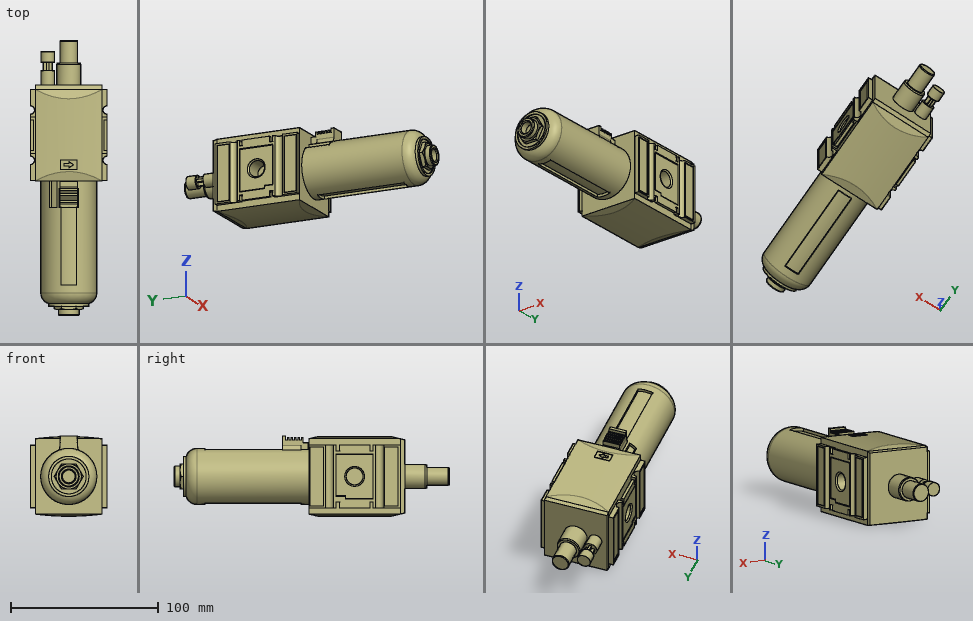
import cadquery as cq
import math


BODY_WIDTH = 45.2
BODY_LENGTH = 62.0
EDGE_HEIGHT = 51.0
CROWN_RISE = 1.5
TAPER_RUN = 6.4
HALF_WIDTH = BODY_WIDTH / 2
HALF_LENGTH = BODY_LENGTH / 2
EDGE_Z = EDGE_HEIGHT / 2
CROWN_Z = EDGE_Z + CROWN_RISE
TAPER_SLOPE = CROWN_RISE / TAPER_RUN

OVERALL_WIDTH = 52.0
PAD_X = OVERALL_WIDTH / 2
PAD_HEIGHT = 42.5
PAD_Z = PAD_HEIGHT / 2
PAD_SETBACK = 0.2
GROOVE_RADIUS = 2.8
GROOVE_Y = 17.0
PANEL_SIZE = (9.1, 39.8)
PANEL_DEPTH = 0.7
PANEL_CENTRES_Y = (24.9, -25.5)
NOTCH_DEPTH = 3.9
NOTCH_SPANS_Y = ((10.4, 12.4), (-12.5, -10.2))
HOOK_SLOT_WIDTH = 1.4
WINDOW_DEPTH = 0.3
WINDOW_BEVEL = 0.5
WINDOW_SPAN_Y = (-12.5, 12.4)
WINDOW_Z = 15.3
WINDOW_STEP_Y = -6.2
WINDOW_STEP_Z = -13.4

PORT_DIAMETER = 11.4
PORT_MOUTH_DIAMETER = 13.4
PORT_DEPTH = 14.0

LABEL_LENGTH = 11.0
LABEL_WIDTH = 6.4
LABEL_Y = -20.0
LABEL_DEPTH = 0.4
ARROW_LENGTH = 6.4
ARROW_HEAD_LENGTH = 3.2
ARROW_HEAD_WIDTH = 4.2
ARROW_SHAFT_WIDTH = 1.8

BOWL_RADIUS = 19.0
BOWL_CORE_RADIUS = 17.0
DOME_START_Y = -106.6
DOME_END_Y = -113.9
RIM_RADIUS = 13.6
RIM_END_Y = -115.8
RIM_RECESS_RADIUS = 11.8
RIM_RECESS_DEPTH = 0.8
SLOT_WIDTH = 10.6
SLOT_START_Y = -36.1
SLOT_END_Y = -101.2

HEX_FLATS = 17.0
HEX_END_Y = -118.0
HEX_BEVEL_ANGLE = math.radians(30)
STUB_RADIUS = 7.1
STUB_END_Y = -122.0
STUB_CHAMFER = 0.6
DRAIN_HOLE_RADIUS = 4.3
DRAIN_MOUTH_RADIUS = 5.0
DRAIN_HOLE_DEPTH = 6.0

BUTTON_WIDTH = 11.8
BUTTON_START_Y = -31.4
BUTTON_END_Y = -48.8
BUTTON_STEP_Z = 22.9
TEETH_START_Y = -34.9
TEETH_END_Y = -46.6
TOOTH_TOP_Z = 26.3
TOOTH_ROOT_Z = 24.7
TOOTH_COUNT = 5
BUTTON_TOP_Z = 27.49
SKIRT_START_Y = -36.1
SKIRT_TOP_Z = 20.8
SKIRT_BOTTOM_Z = 18.0
SKIRT_FLARE = 0.65

RELIEF_OUTER_X = -13.1
RELIEF_INNER_X = -8.1
RELIEF_END_Y = BUTTON_END_Y

CAP_THICKNESS = 3.0
CAP_END_Y = HALF_LENGTH + CAP_THICKNESS
KNOB_RADIUS = 8.2
KNOB_SHOULDER_Y = 48.8
KNOB_SHOULDER_BEVEL = (0.4, 1.1)
KNOB_TOP_RADIUS = 6.05
KNOB_END_Y = 64.0
KNOB_END_BEVEL = (0.3, 0.8)
POST_X = -14.2
POST_RADIUS = 4.65
POST_NECK_START_Y = 43.6
POST_HEAD_START_Y = 49.1
POST_HEAD_BEVEL = 0.4
POST_END_Y = 56.5
NECK_SPAN = 6.3
NECK_ARM_WIDTH = 1.7


def box(x_span, y_span, z_span):
    """Block between the given limits along each axis."""
    corner = [min(span) for span in (x_span, y_span, z_span)]
    size = [abs(span[1] - span[0]) for span in (x_span, y_span, z_span)]
    return cq.Workplane("XY").box(*size, centered=False).translate(tuple(corner))


def rod(radius, y_start, y_end):
    """Cylinder on the Y axis."""
    return cq.Workplane("XZ", origin=(0, y_start, 0)).circle(radius).extrude(y_start - y_end)


def turned(points):
    """Solid turned about the Y axis from (radius, y) points."""
    return cq.Workplane("XY").polyline(points).close().revolve(360, (0, 0, 0), (0, 1, 0))


def both_sides(shape):
    """The shape together with its mirror image across the YZ plane."""
    return shape.union(shape.mirror("YZ"))


def housing_block():
    vault = (
        cq.Workplane("XZ")
        .moveTo(-HALF_WIDTH, -EDGE_Z)
        .lineTo(-HALF_WIDTH, EDGE_Z)
        .threePointArc((0, CROWN_Z), (HALF_WIDTH, EDGE_Z))
        .lineTo(HALF_WIDTH, -EDGE_Z)
        .threePointArc((0, -CROWN_Z), (-HALF_WIDTH, -EDGE_Z))
        .close()
        .extrude(HALF_LENGTH, both=True)
    )
    flat_y = HALF_LENGTH - TAPER_RUN
    side_outline = (
        cq.Workplane("YZ")
        .polyline([
            (-HALF_LENGTH, EDGE_Z), (-flat_y, CROWN_Z), (flat_y, CROWN_Z), (HALF_LENGTH, EDGE_Z),
            (HALF_LENGTH, -EDGE_Z), (flat_y, -CROWN_Z), (-flat_y, -CROWN_Z), (-HALF_LENGTH, -EDGE_Z),
        ])
        .close()
        .extrude(HALF_WIDTH, both=True)
    )
    return vault.intersect(side_outline)


def window_pocket(y_span, z_span):
    """Shallow pocket in the pad face with bevelled upper and lower ends."""
    floor_x = PAD_X - WINDOW_DEPTH
    z_low, z_high = z_span
    return (
        cq.Workplane("XZ", origin=(0, y_span[1], 0))
        .polyline([
            (PAD_X, z_low), (floor_x, z_low + WINDOW_BEVEL),
            (floor_x, z_high - WINDOW_BEVEL), (PAD_X, z_high),
        ])
        .close()
        .extrude(y_span[1] - y_span[0])
    )


def flange_pad():
    """Pad on the +X side with its grooves, panels, clamp notches and window."""
    x_span = (HALF_WIDTH, PAD_X)
    pad = box(x_span, (PAD_SETBACK - HALF_LENGTH, HALF_LENGTH), (-PAD_Z, PAD_Z))
    for y in (GROOVE_Y, -GROOVE_Y):
        groove = cq.Workplane("XY").center(PAD_X, y).circle(GROOVE_RADIUS).extrude(PAD_Z, both=True)
        pad = pad.cut(groove)
    for y in PANEL_CENTRES_Y:
        pad = pad.cut(cq.Workplane("XY").box(2 * PANEL_DEPTH, *PANEL_SIZE).translate((PAD_X, y, 0)))
    slot_span_y = (NOTCH_SPANS_Y[1][0], NOTCH_SPANS_Y[0][1])
    slot_span_x = (HALF_WIDTH, HALF_WIDTH + HOOK_SLOT_WIDTH)
    for side in (1, -1):
        z_span = (side * (PAD_Z - NOTCH_DEPTH), side * PAD_Z)
        for y_span in NOTCH_SPANS_Y:
            pad = pad.cut(box(x_span, y_span, z_span))
        pad = pad.cut(box(slot_span_x, slot_span_y, z_span))
    pad = pad.cut(window_pocket((WINDOW_STEP_Y, WINDOW_SPAN_Y[1]), (-WINDOW_Z, WINDOW_Z)))
    return pad.cut(window_pocket((WINDOW_SPAN_Y[0], WINDOW_STEP_Y), (WINDOW_STEP_Z, WINDOW_Z)))


def port():
    """Blind hole with a chamfered mouth, entering from +X."""
    bore = PORT_DIAMETER / 2
    mouth = PORT_MOUTH_DIAMETER / 2
    face_x = PAD_X - WINDOW_DEPTH
    return (
        cq.Workplane("XY")
        .polyline([
            (face_x - PORT_DEPTH, 0), (face_x - PORT_DEPTH, bore), (face_x - (mouth - bore), bore),
            (face_x, mouth), (face_x, 0),
        ])
        .close()
        .revolve(360, (0, 0, 0), (1, 0, 0))
    )


def flow_label():
    """Flat recess in the crown around an arrow that points to +X; the arrow is left standing."""
    floor_z = CROWN_Z - LABEL_DEPTH
    tip = ARROW_LENGTH / 2
    neck = tip - ARROW_HEAD_LENGTH
    shaft = ARROW_SHAFT_WIDTH / 2
    barb = ARROW_HEAD_WIDTH / 2
    plane = cq.Workplane("XY", origin=(0, LABEL_Y, floor_z))
    arrow = plane.polyline([
        (-tip, shaft), (neck, shaft), (neck, barb), (tip, 0), (neck, -barb), (neck, -shaft), (-tip, -shaft),
    ]).close().extrude(LABEL_DEPTH)
    return plane.rect(LABEL_LENGTH, LABEL_WIDTH).extrude(LABEL_DEPTH).cut(arrow)


def bowl_shell():
    """Turned bowl with a rounded end and a shallow recess in the end rim."""
    drop = DOME_START_Y - DOME_END_Y
    inset = BOWL_RADIUS - RIM_RADIUS
    dome_radius = (drop ** 2 + inset ** 2) / (2 * inset)
    half_sweep = math.asin(drop / dome_radius) / 2
    dome_middle = (
        BOWL_RADIUS - dome_radius * (1 - math.cos(half_sweep)),
        DOME_START_Y - dome_radius * math.sin(half_sweep),
    )
    recess_y = RIM_END_Y + RIM_RECESS_DEPTH
    return (
        cq.Workplane("XY")
        .moveTo(0, -HALF_LENGTH)
        .lineTo(BOWL_RADIUS, -HALF_LENGTH)
        .lineTo(BOWL_RADIUS, DOME_START_Y)
        .threePointArc(dome_middle, (RIM_RADIUS, DOME_END_Y))
        .lineTo(RIM_RADIUS, RIM_END_Y)
        .lineTo(RIM_RECESS_RADIUS, RIM_END_Y)
        .lineTo(RIM_RECESS_RADIUS, recess_y)
        .lineTo(0, recess_y)
        .close()
        .revolve(360, (0, 0, 0), (0, 1, 0))
    )


def sight_slots():
    """Slots along the top and bottom of the bowl, down to the round core."""
    half_slot = SLOT_WIDTH / 2
    strip = box((-half_slot, half_slot), (SLOT_START_Y, SLOT_END_Y), (-BOWL_RADIUS, BOWL_RADIUS))
    return strip.cut(rod(BOWL_CORE_RADIUS, SLOT_START_Y, SLOT_END_Y))


def button_relief():
    """Relief left of the button: radial outer wall, round floor and upright inner wall."""
    outer_z = math.sqrt(BOWL_RADIUS ** 2 - RELIEF_OUTER_X ** 2)
    wedge = (
        cq.Workplane("XZ", origin=(0, -HALF_LENGTH, 0))
        .polyline([
            (0, 0), (RELIEF_OUTER_X, outer_z), (RELIEF_OUTER_X, BOWL_RADIUS), (RELIEF_INNER_X, BOWL_RADIUS),
            (RELIEF_INNER_X, 0),
        ])
        .close()
        .extrude(-HALF_LENGTH - RELIEF_END_Y)
    )
    return wedge.cut(rod(BOWL_CORE_RADIUS, -HALF_LENGTH, RELIEF_END_Y))


def latch_button():
    """Push button with a square-toothed grip, a raised end and flared skirts."""
    pitch = (TEETH_START_Y - TEETH_END_Y) / TOOTH_COUNT
    outline = [
        (BUTTON_START_Y, BOWL_CORE_RADIUS), (BUTTON_START_Y, BUTTON_STEP_Z), (TEETH_START_Y, BUTTON_STEP_Z),
    ]
    for tooth in range(TOOTH_COUNT):
        y = TEETH_START_Y - tooth * pitch
        outline += [(y, TOOTH_TOP_Z), (y - pitch / 2, TOOTH_TOP_Z)]
        outline += [(y - pitch / 2, TOOTH_ROOT_Z), (y - pitch, TOOTH_ROOT_Z)]
    outline += [(TEETH_END_Y, BUTTON_TOP_Z), (BUTTON_END_Y, BUTTON_TOP_Z), (BUTTON_END_Y, BOWL_CORE_RADIUS)]
    half = BUTTON_WIDTH / 2
    grip = cq.Workplane("YZ").polyline(outline).close().extrude(half, both=True)
    skirt = (
        cq.Workplane("XZ", origin=(0, SKIRT_START_Y, 0))
        .polyline([
            (-half, SKIRT_TOP_Z), (half, SKIRT_TOP_Z), (half + SKIRT_FLARE, SKIRT_BOTTOM_Z),
            (half + SKIRT_FLARE, BOWL_CORE_RADIUS), (-half - SKIRT_FLARE, BOWL_CORE_RADIUS),
            (-half - SKIRT_FLARE, SKIRT_BOTTOM_Z),
        ])
        .close()
        .extrude(SKIRT_START_Y - BUTTON_END_Y)
    )
    return grip.union(skirt)


def drain():
    """Hexagon and chamfered stub at the end of the bowl."""
    base_y = RIM_END_Y + RIM_RECESS_DEPTH
    corner_radius = HEX_FLATS / 2 / math.cos(math.pi / 6)
    bevel = (corner_radius - HEX_FLATS / 2) * math.tan(HEX_BEVEL_ANGLE)
    bevel_cone = turned([
        (0, base_y), (corner_radius, base_y), (corner_radius, HEX_END_Y + bevel),
        (HEX_FLATS / 2, HEX_END_Y), (0, HEX_END_Y),
    ])
    hexagon = (
        cq.Workplane("XZ", origin=(0, base_y, 0))
        .polygon(6, 2 * corner_radius)
        .extrude(base_y - HEX_END_Y)
        .intersect(bevel_cone)
    )
    stub = turned([
        (0, base_y), (STUB_RADIUS, base_y), (STUB_RADIUS, STUB_END_Y + STUB_CHAMFER),
        (STUB_RADIUS - STUB_CHAMFER, STUB_END_Y), (0, STUB_END_Y),
    ])
    return hexagon.union(stub)


def drain_hole():
    chamfer = DRAIN_MOUTH_RADIUS - DRAIN_HOLE_RADIUS
    floor_y = STUB_END_Y + DRAIN_HOLE_DEPTH
    return turned([
        (0, STUB_END_Y), (DRAIN_MOUTH_RADIUS, STUB_END_Y), (DRAIN_HOLE_RADIUS, STUB_END_Y + chamfer),
        (DRAIN_HOLE_RADIUS, floor_y), (0, floor_y),
    ])


def make_housing():
    bowl = bowl_shell().cut(sight_slots()).cut(button_relief()).union(latch_button())
    bowl = bowl.union(drain()).cut(drain_hole())
    housing = housing_block().union(both_sides(flange_pad()))
    return housing.cut(both_sides(port())).cut(flow_label()).union(bowl)


def cap_plate():
    """End plate whose top and bottom carry on the slope of the housing's end taper."""
    end_z = EDGE_Z - CAP_THICKNESS * TAPER_SLOPE
    return (
        cq.Workplane("YZ")
        .polyline([
            (HALF_LENGTH, -EDGE_Z), (HALF_LENGTH, EDGE_Z), (CAP_END_Y, end_z), (CAP_END_Y, -end_z),
        ])
        .close()
        .extrude(HALF_WIDTH, both=True)
    )


def knob():
    shoulder_inset, shoulder_run = KNOB_SHOULDER_BEVEL
    end_inset, end_run = KNOB_END_BEVEL
    return turned([
        (0, CAP_END_Y), (KNOB_RADIUS, CAP_END_Y), (KNOB_RADIUS, KNOB_SHOULDER_Y - shoulder_run),
        (KNOB_RADIUS - shoulder_inset, KNOB_SHOULDER_Y), (KNOB_TOP_RADIUS, KNOB_SHOULDER_Y),
        (KNOB_TOP_RADIUS, KNOB_END_Y - end_run), (KNOB_TOP_RADIUS - end_inset, KNOB_END_Y), (0, KNOB_END_Y),
    ])


def filler_post():
    """Round post with a cross-shaped neck below its head."""
    half_span = NECK_SPAN / 2
    half_arm = NECK_ARM_WIDTH / 2
    neck_y = (POST_NECK_START_Y, POST_HEAD_START_Y)
    post = rod(POST_RADIUS, CAP_END_Y, POST_NECK_START_Y)
    post = post.union(box((-half_span, half_span), neck_y, (-half_arm, half_arm)))
    post = post.union(box((-half_arm, half_arm), neck_y, (-half_span, half_span)))
    post = post.union(turned([
        (0, POST_HEAD_START_Y), (POST_RADIUS - POST_HEAD_BEVEL, POST_HEAD_START_Y),
        (POST_RADIUS, POST_HEAD_START_Y + POST_HEAD_BEVEL), (POST_RADIUS, POST_END_Y), (0, POST_END_Y),
    ]))
    return post.translate((POST_X, 0, 0))


def make_cap():
    return cap_plate().union(knob()).union(filler_post())


housing = make_housing()
cap = make_cap()
result = cq.Compound.makeCompound([housing.val(), cap.val()])